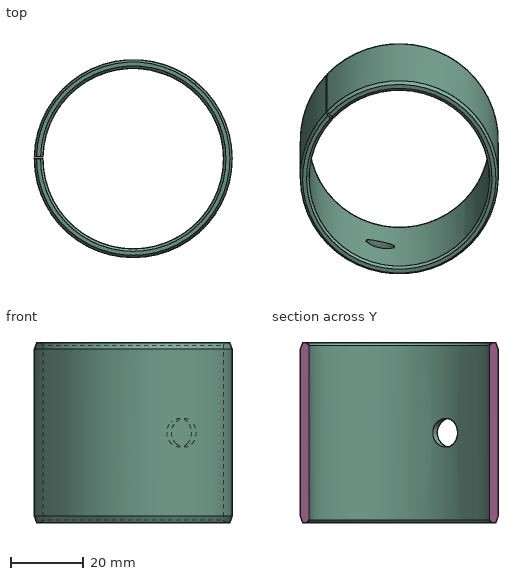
import cadquery as cq

outer_diameter = 55.0
wall = 2.5
length = 50.0
inner_diameter = outer_diameter - 2 * wall

outer_chamfer_height = 1.8
outer_chamfer_depth = 0.65
inner_chamfer = 0.7

split_width = 0.5

oil_hole_diameter = 8.0
oil_hole_angle = 59.0

outer_radius = outer_diameter / 2
inner_radius = inner_diameter / 2
half_length = length / 2


def chamfered_sleeve():
    """Revolve the wall section with its four chamfered corners."""
    outer_chamfer_start = half_length - outer_chamfer_height
    inner_chamfer_start = half_length - inner_chamfer
    end_outer_radius = outer_radius - outer_chamfer_depth
    end_inner_radius = inner_radius + inner_chamfer
    section = [
        (inner_radius, -inner_chamfer_start),
        (end_inner_radius, -half_length),
        (end_outer_radius, -half_length),
        (outer_radius, -outer_chamfer_start),
        (outer_radius, outer_chamfer_start),
        (end_outer_radius, half_length),
        (end_inner_radius, half_length),
        (inner_radius, inner_chamfer_start),
    ]
    return cq.Workplane("XZ").polyline(section).close().revolve(360, (0, 0), (0, 1))


def split_cutter():
    """Slab through the -X wall over the full length, with one face on the XZ plane."""
    slab = cq.Workplane("XY").box(outer_radius, split_width, length)
    return slab.translate((-outer_radius, split_width / 2, 0))


def oil_hole_cutter():
    """Radial cylinder from the axis out through one side of the wall."""
    cylinder = cq.Workplane("YZ").circle(oil_hole_diameter / 2).extrude(outer_diameter)
    return cylinder.rotate((0, 0, 0), (0, 0, 1), oil_hole_angle)


result = chamfered_sleeve().cut(split_cutter()).cut(oil_hole_cutter())